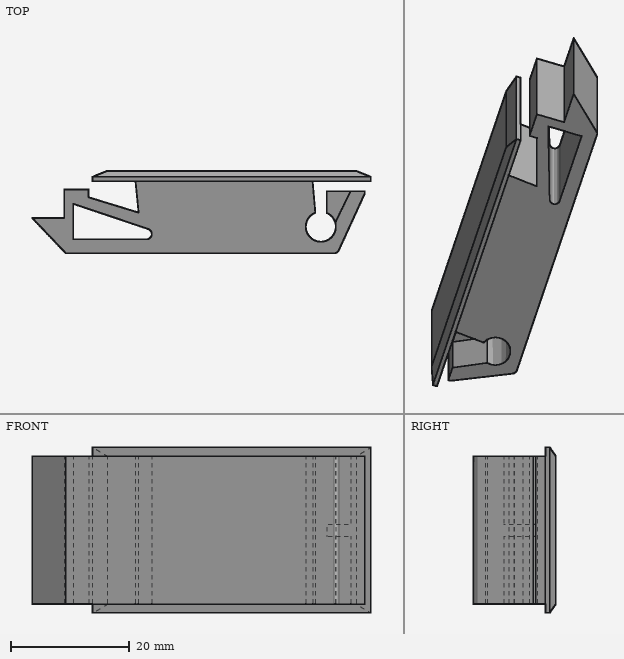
import cadquery as cq

body_height = 25.0
plate_height = 28.0
rib_thickness = 2.0

plate_left = 10.2
plate_right = 57.3
plate_back = 12.2
plate_rim = 0.75
part_depth = 14.0
bevel_x = 2.5
bevel_z = 1.5

wedge_tip_y = 6.0
wedge_base_x = 5.75
catch_left = 5.45
catch_right = 9.55
catch_top = 10.85
catch_step_y = 9.5
arm_root = (18.0, 6.95)
neck_left = 17.5

window_left = 7.0
window_bottom = 2.4
window_top = 8.35
window_arc_start = (19.3, window_bottom)
window_arc_middle = (20.2, 3.3)
window_arc_end = (19.6, 4.1)

neck_right = 47.45
neck_foot = (47.9, 7.0)
bore_center = (48.8, 4.5)
bore_radius = 2.5
slot_right = 49.8
lip_right = 56.25
lip_top = 10.55
lip_edge_y = 10.15
lip_base_x = 51.6
lip_corner_radius = 1.0
lip_inner_top_x = 53.85
lip_inner_foot = (51.15, 5.05)


def prism(outline, height):
    """Extrude a closed XY outline symmetrically about Z = 0."""
    return outline.close().extrude(height / 2, both=True)


def make_body():
    outline = cq.Workplane("XY").polyline([
        (wedge_base_x, 0),
        (0, wedge_tip_y),
        (catch_left, wedge_tip_y),
        (catch_left, catch_top),
        (catch_right, catch_top),
        (catch_right, catch_step_y),
        arm_root,
        (neck_left, plate_back),
        (neck_right, plate_back),
        neck_foot,
        (neck_foot[0], bore_center[1]),
        (slot_right, bore_center[1]),
        (slot_right, lip_top),
        (lip_right, lip_top),
        (lip_right, lip_edge_y),
        (lip_base_x, 0),
    ])
    body = prism(outline, body_height)
    lip_corner = cq.selectors.NearestToPointSelector((lip_base_x, 0, 0))
    body = body.edges(lip_corner).fillet(lip_corner_radius)
    bore = cq.Workplane("XY").center(*bore_center).circle(bore_radius).extrude(body_height / 2, both=True)
    return body.cut(bore)


def make_window():
    outline = (
        cq.Workplane("XY")
        .moveTo(window_left, window_top)
        .lineTo(window_left, window_bottom)
        .lineTo(*window_arc_start)
        .threePointArc(window_arc_middle, window_arc_end)
    )
    return prism(outline, body_height)


def make_lip_pockets():
    """Hollow behind the lip, interrupted by a rib at mid height."""
    outline = cq.Workplane("XY").polyline([
        (slot_right, lip_top),
        (lip_inner_top_x, lip_top),
        lip_inner_foot,
        (slot_right, lip_inner_foot[1]),
    ])
    rib = cq.Workplane("XY").box(plate_right, part_depth, rib_thickness, centered=(False, False, True))
    return prism(outline, body_height).cut(rib)


def make_plate():
    """Rectangular plate with a straight rim and a bevelled outer face."""
    length = plate_right - plate_left
    middle_x = (plate_left + plate_right) / 2
    rim_top = plate_back + plate_rim
    rim = (
        cq.Workplane("XY")
        .box(length, plate_rim, plate_height)
        .translate((middle_x, plate_back + plate_rim / 2, 0))
    )
    bevel = (
        cq.Workplane("XZ", origin=(middle_x, rim_top, 0))
        .rect(length, plate_height)
        .workplane(offset=rim_top - part_depth)
        .rect(length - 2 * bevel_x, plate_height - 2 * bevel_z)
        .loft(ruled=True)
    )
    return rim.union(bevel)


result = make_body().cut(make_window()).cut(make_lip_pockets()).union(make_plate())